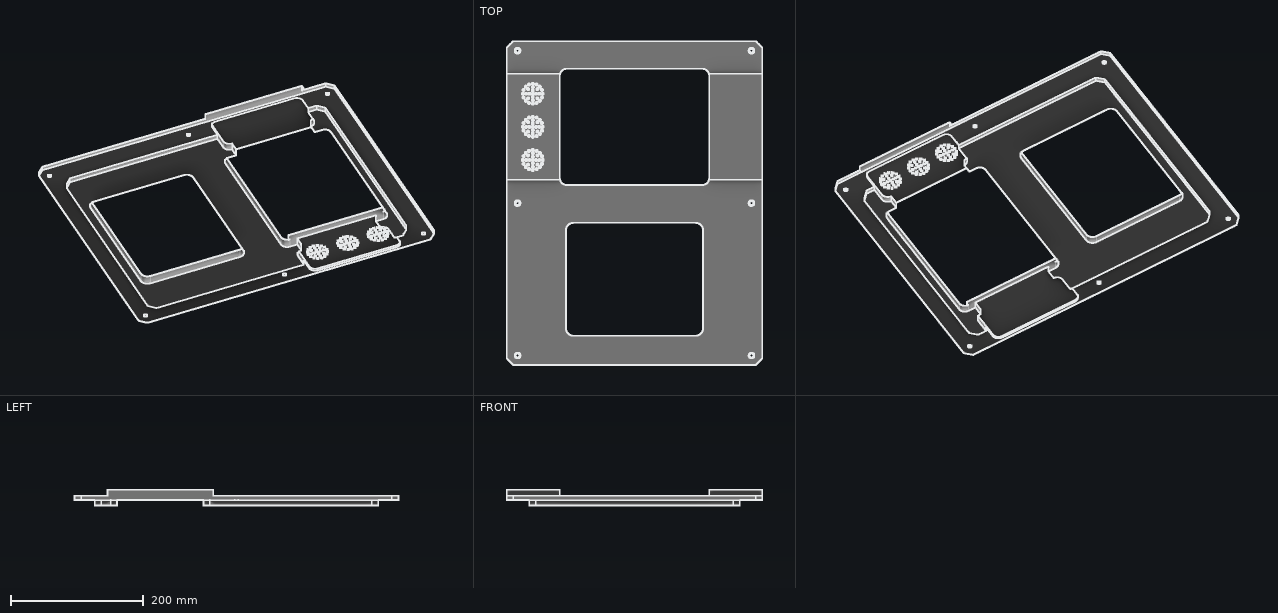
import cadquery as cq

PLATE_WIDTH = 386.0
PLATE_LENGTH = 489.0
PLATE_THICKNESS = 7.0
PLATE_CORNER_CHAMFER = 10.0

BACKING_WIDTH = 318.0
BACKING_LENGTH = 428.0
BACKING_THICKNESS = 8.0
BACKING_CORNER_CHAMFER = 10.0

REAR_WINDOW_WIDTH = 225.0
REAR_WINDOW_LENGTH = 175.0
REAR_WINDOW_Y = 115.0
REAR_WINDOW_RADIUS = 10.0

FRONT_WINDOW_WIDTH = 206.5
FRONT_WINDOW_LENGTH = 170.0
FRONT_WINDOW_Y = -115.0
FRONT_WINDOW_RADIUS = 11.0

PAD_WIDTH = (PLATE_WIDTH - REAR_WINDOW_WIDTH) / 2
PAD_LENGTH = 160.0
PAD_HEIGHT = 9.0
PAD_X = (PLATE_WIDTH - PAD_WIDTH) / 2
PAD_TOP_Z = PLATE_THICKNESS + PAD_HEIGHT

POCKET_RIM = 5.0
POCKET_ROOF = 12.0
POCKET_CORNER_RADIUS = 10.0
POCKET_LENGTH = PAD_LENGTH - 2 * POCKET_RIM
POCKET_TOP_Z = PAD_TOP_Z - POCKET_ROOF
POCKET_HEIGHT = BACKING_THICKNESS + POCKET_TOP_Z
POCKET_OUTER_X = PLATE_WIDTH / 2 - POCKET_RIM
NECK_DEPTH = 15.0
NECK_LENGTH = POCKET_LENGTH - 2 * POCKET_CORNER_RADIUS
POCKET_INNER_X = REAR_WINDOW_WIDTH / 2 + NECK_DEPTH

SCREW_HOLE_DIAMETER = 5.5
SCREW_HEAD_DIAMETER = 9.0
SCREW_HEAD_DEPTH = 3.0
SCREW_SPACING_X = 353.0
SCREW_SPACING_Y = 230.0

GRILLE_COUNT = 3
GRILLE_SPACING = 50.0
GRILLE_X = -153.5
GRILLE_HOLE_DIAMETER = 3.0
GRILLE_RING_PITCH = 5.0
GRILLE_RING_HOLE_COUNTS = (4, 8, 16)


def make_plate():
    """Flat base plate with chamfered corners."""
    plate = cq.Workplane("XY").box(PLATE_WIDTH, PLATE_LENGTH, PLATE_THICKNESS, centered=(True, True, False))
    return plate.edges("|Z").chamfer(PLATE_CORNER_CHAMFER)


def make_backing():
    """Smaller layer with chamfered corners, fixed to the underside of the plate."""
    return (
        cq.Workplane("XY", origin=(0, 0, -BACKING_THICKNESS))
        .box(BACKING_WIDTH, BACKING_LENGTH, BACKING_THICKNESS, centered=(True, True, False))
        .edges("|Z")
        .chamfer(BACKING_CORNER_CHAMFER)
    )


def make_pad(center_x):
    """Raised pad, reaching down to the underside of the plate."""
    return (
        cq.Workplane("XY", origin=(center_x, REAR_WINDOW_Y, 0))
        .box(PAD_WIDTH, PAD_LENGTH, PAD_TOP_Z, centered=(True, True, False))
    )


def make_pocket(side):
    """Cutter for the pocket and its neck, through the backing and into the underside of a pad."""
    plane = cq.Workplane("XY", origin=(0, REAR_WINDOW_Y, -BACKING_THICKNESS))
    pocket = (
        plane.center(side * (POCKET_INNER_X + POCKET_OUTER_X) / 2, 0)
        .rect(POCKET_OUTER_X - POCKET_INNER_X, POCKET_LENGTH)
        .extrude(POCKET_HEIGHT)
        .edges("|Z")
        .fillet(POCKET_CORNER_RADIUS)
    )
    neck = (
        plane.center(side * POCKET_OUTER_X / 2, 0)
        .rect(POCKET_OUTER_X, NECK_LENGTH)
        .extrude(POCKET_HEIGHT)
    )
    return pocket.union(neck)


def make_window(width, length, center_y, corner_radius):
    """Cutter for a round-cornered opening through the plate and the backing."""
    return (
        cq.Workplane("XY", origin=(0, center_y, -BACKING_THICKNESS))
        .box(width, length, BACKING_THICKNESS + PAD_TOP_Z, centered=(True, True, False))
        .edges("|Z")
        .fillet(corner_radius)
    )


def drill_screw_holes(body):
    """Counterbored holes through the plate, along both sides."""
    return (
        body.copyWorkplane(cq.Workplane("XY", origin=(0, 0, PLATE_THICKNESS)))
        .rarray(SCREW_SPACING_X, SCREW_SPACING_Y, 2, 3)
        .cboreHole(SCREW_HOLE_DIAMETER, SCREW_HEAD_DIAMETER, SCREW_HEAD_DEPTH, depth=PLATE_THICKNESS)
    )


def make_grille(center_y):
    """Cutter for one grille, through the full height of the pad."""
    plane = cq.Workplane("XY", origin=(GRILLE_X, center_y, 0))
    hole_radius = GRILLE_HOLE_DIAMETER / 2
    cutter = plane.circle(hole_radius).extrude(PAD_TOP_Z)
    for ring_number, hole_count in enumerate(GRILLE_RING_HOLE_COUNTS, start=1):
        ring_radius = ring_number * GRILLE_RING_PITCH
        ring = plane.polarArray(ring_radius, 0, 360, hole_count).circle(hole_radius).extrude(PAD_TOP_Z)
        cutter = cutter.add(ring)
    return cutter.combine()


body = make_plate()
body = body.union(make_backing())
body = body.cut(make_window(REAR_WINDOW_WIDTH, REAR_WINDOW_LENGTH, REAR_WINDOW_Y, REAR_WINDOW_RADIUS))
body = body.cut(make_window(FRONT_WINDOW_WIDTH, FRONT_WINDOW_LENGTH, FRONT_WINDOW_Y, FRONT_WINDOW_RADIUS))

for side in (-1, 1):
    body = body.union(make_pad(side * PAD_X))
    body = body.cut(make_pocket(side))

body = drill_screw_holes(body)

for index in range(GRILLE_COUNT):
    offset = (index - (GRILLE_COUNT - 1) / 2) * GRILLE_SPACING
    body = body.cut(make_grille(REAR_WINDOW_Y + offset))

result = body